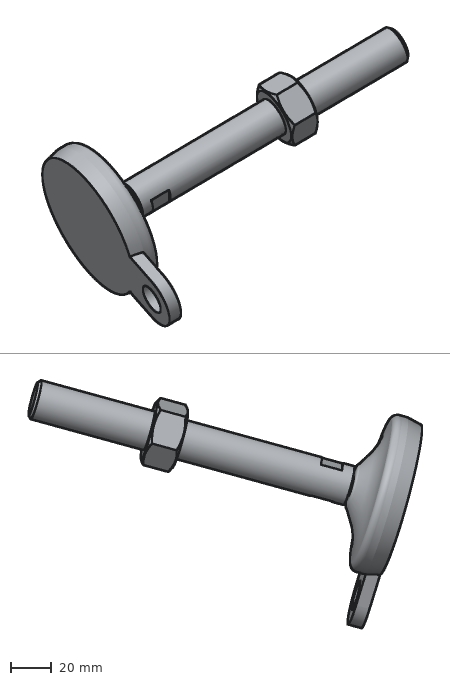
import cadquery as cq
import math

total_length = 188.0

foot_radius = 40.0
foot_base_radius = 38.4
foot_taper_height = 7.5
foot_rim_height = 10.9
shoulder_radius = 37.2
shoulder_height = 15.0
flare_mid_radius = 23.0
flare_mid_height = 17.9
flare_top_radius = 11.8
flare_top_height = 24.0
foot_top_radius = 9.5
foot_top_height = 25.2
top_edge_bulge = 0.28

lug_radius = 15.0
lug_hole_diameter = 15.0
lug_thickness = 7.0
lug_reach = 109.0 - foot_radius
lug_center_x = lug_reach - lug_radius

stud_radius = 10.0
stud_start = 26.3
stud_chamfer = 1.5
neck_radius = stud_radius / 2
flat_start = 32.3
flat_length = 10.7
across_stud_flats = 17.0

nut_start = 112.8
nut_height = 16.0
nut_across_flats = 30.0
nut_across_corners = nut_across_flats / math.cos(math.pi / 6)
nut_face_radius = 14.5
nut_chamfer_angle = math.radians(30)


def cylinder(radius, start, height):
    """Round bar along +Y beginning at y = start."""
    return cq.Workplane("XZ", origin=(0, start, 0)).circle(radius).extrude(-height)


def make_foot():
    """Disc with a tapered base, rounded shoulder, concave flare and rounded top edge."""
    rim_rounding = foot_radius - shoulder_radius
    rounding_height = shoulder_height - foot_rim_height
    round_mid = (
        shoulder_radius + rim_rounding * math.sqrt(0.5),
        foot_rim_height + rounding_height * math.sqrt(0.5),
    )
    return (
        cq.Workplane("XY")
        .lineTo(foot_base_radius, 0)
        .lineTo(foot_radius, foot_taper_height)
        .lineTo(foot_radius, foot_rim_height)
        .threePointArc(round_mid, (shoulder_radius, shoulder_height))
        .threePointArc((flare_mid_radius, flare_mid_height), (flare_top_radius, flare_top_height))
        .sagittaArc((foot_top_radius, foot_top_height), -top_edge_bulge)
        .lineTo(0, foot_top_height)
        .close()
        .revolve(360, (0, 0, 0), (0, 1, 0))
    )


def make_lug():
    """Round-ended tab, flush with the foot base."""
    tab = (
        cq.Workplane("XZ")
        .center(lug_center_x / 2, 0)
        .rect(lug_center_x, 2 * lug_radius)
        .extrude(-lug_thickness)
    )
    tip = cq.Workplane("XZ").center(lug_center_x, 0).circle(lug_radius).extrude(-lug_thickness)
    return tab.union(tip)


def make_lug_hole():
    return cq.Workplane("XZ").center(lug_center_x, 0).circle(lug_hole_diameter / 2).extrude(-lug_thickness)


def make_stud():
    """Chamfered bar with two opposite wrench flats near the foot."""
    stud = cylinder(stud_radius, stud_start, total_length - stud_start)
    stud = stud.faces(">Y").chamfer(stud_chamfer)
    cut_depth = stud_radius - across_stud_flats / 2
    for side in (-1, 1):
        notch = cq.Workplane("XY").box(cut_depth, flat_length, 2 * stud_radius)
        notch_x = side * (across_stud_flats + cut_depth) / 2
        stud = stud.cut(notch.translate((notch_x, flat_start + flat_length / 2, 0)))
    return stud


def make_nut():
    """Hexagon with flats facing X and conical chamfers on both ends."""
    corner_radius = nut_across_corners / 2
    chamfer_height = (corner_radius - nut_face_radius) * math.tan(nut_chamfer_angle)
    hexagon = (
        cq.Workplane("XZ", origin=(0, nut_start, 0))
        .transformed(rotate=(0, 0, 30))
        .polygon(6, nut_across_corners)
        .extrude(-nut_height)
    )
    envelope = (
        cq.Workplane("XY", origin=(0, nut_start, 0))
        .lineTo(nut_face_radius, 0)
        .lineTo(corner_radius, chamfer_height)
        .lineTo(corner_radius, nut_height - chamfer_height)
        .lineTo(nut_face_radius, nut_height)
        .lineTo(0, nut_height)
        .close()
        .revolve(360, (0, 0, 0), (0, 1, 0))
    )
    return hexagon.intersect(envelope)


neck = cylinder(neck_radius, foot_top_height, stud_start - foot_top_height)
foot = make_foot().union(make_lug()).cut(make_lug_hole())
result = foot.union(neck).union(make_stud()).union(make_nut())